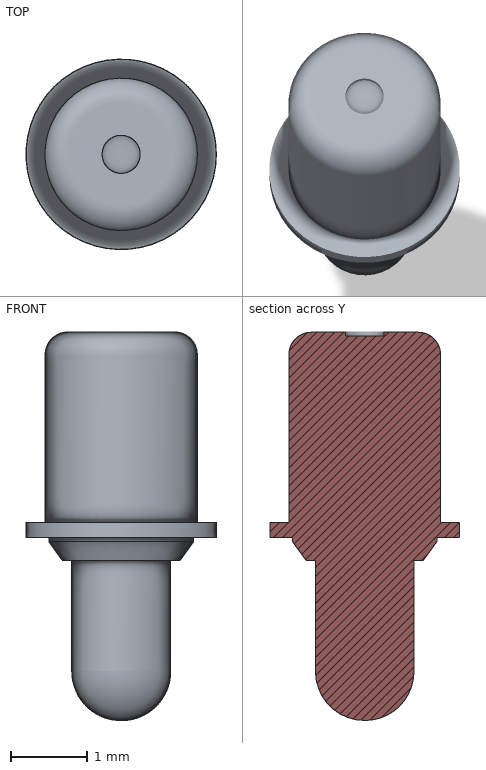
import cadquery as cq

total_height = 5.1
body_diameter = 2.0
body_height = 2.5
body_edge_radius = 0.3
flange_diameter = 2.5
flange_thickness = 0.2
collar_diameter = 1.9
collar_end_diameter = 1.54
collar_height = 0.3
collar_taper_height = 0.25
pin_diameter = 1.3
hole_diameter = 0.5
hole_depth = 0.05

body_radius = body_diameter / 2
flange_radius = flange_diameter / 2
collar_radius = collar_diameter / 2
collar_end_radius = collar_end_diameter / 2
pin_radius = pin_diameter / 2
flange_top = total_height - body_height
flange_bottom = flange_top - flange_thickness
collar_bottom = flange_bottom - collar_height
taper_top = collar_bottom + collar_taper_height


def make_turned_pin():
    """Revolve the half outline: tip, pin, tapered collar, flange and body."""
    outline = (
        cq.Workplane("XZ")
        .moveTo(0, 0)
        .radiusArc((pin_radius, pin_radius), -pin_radius)
        .lineTo(pin_radius, collar_bottom)
        .lineTo(collar_end_radius, collar_bottom)
        .lineTo(collar_radius, taper_top)
        .lineTo(collar_radius, flange_bottom)
        .lineTo(flange_radius, flange_bottom)
        .lineTo(flange_radius, flange_top)
        .lineTo(body_radius, flange_top)
        .lineTo(body_radius, total_height)
        .lineTo(0, total_height)
        .close()
    )
    return outline.revolve(360, (0, 0, 0), (0, 1, 0))


def add_top_details(pin):
    """Round the upper rim and sink the shallow blind hole."""
    rounded = pin.faces(">Z").edges().fillet(body_edge_radius)
    return rounded.faces(">Z").workplane().hole(hole_diameter, hole_depth)


result = add_top_details(make_turned_pin())